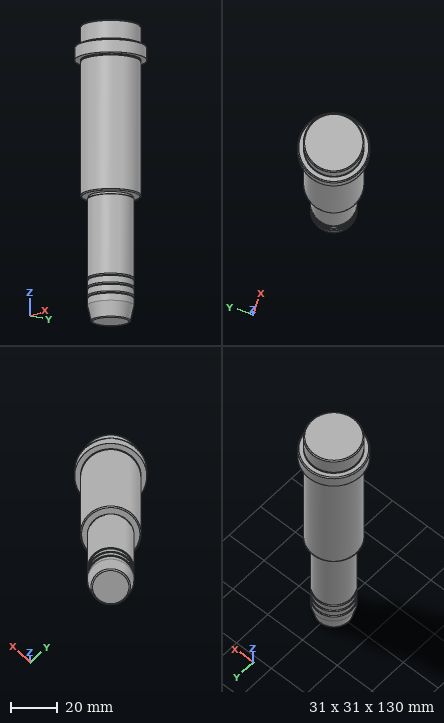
import cadquery as cq

total_height = 130.0
flange_top = 121.0
flange_bottom = 115.0
sleeve_bottom = 55.0
nose_height = 7.0

flange_radius = 15.5
sleeve_radius = 13.0
shank_radius = 10.0
tip_radius = 8.5

edge_chamfer = 0.5
tip_chamfer_height = 0.4
tip_chamfer_width = 0.6

flange_relief_width = 0.8
flange_relief_depth = 0.3
neck_height = 1.0
neck_depth = 0.5

groove_count = 3
groove_pitch = 3.9
lowest_groove_bottom = 10.1
groove_width = 1.0
groove_depth = 0.4


def cylinder(bottom, top, radius):
    """Solid cylinder about Z between two heights."""
    return cq.Workplane("XY").workplane(offset=bottom).circle(radius).extrude(top - bottom)


def ring_groove(bottom, width, radius, depth):
    """Ring-shaped cutter for a square groove in a cylinder of the given radius."""
    return cylinder(bottom, bottom + width, radius + depth).cut(
        cylinder(bottom, bottom + width, radius - depth)
    )


def vee_groove(bottom, width, radius, depth):
    """Ring-shaped cutter for a symmetric V groove in a cylinder of the given radius."""
    return (
        cq.Workplane("XZ")
        .moveTo(radius, bottom)
        .lineTo(radius - depth, bottom + width / 2)
        .lineTo(radius, bottom + width)
        .close()
        .revolve(360, (0, 0, 0), (0, 1, 0))
    )


def make_shank():
    """Guide shank with a tapered, chamfered nose, turned about Z."""
    return (
        cq.Workplane("XZ")
        .moveTo(0, 0)
        .lineTo(tip_radius - tip_chamfer_width, 0)
        .lineTo(tip_radius, tip_chamfer_height)
        .lineTo(shank_radius, nose_height)
        .lineTo(shank_radius, sleeve_bottom)
        .lineTo(0, sleeve_bottom)
        .close()
        .revolve(360, (0, 0, 0), (0, 1, 0))
    )


sleeve = cylinder(sleeve_bottom, total_height, sleeve_radius).edges("%CIRCLE").chamfer(edge_chamfer)

for relief_bottom in (flange_top, flange_bottom - flange_relief_width):
    sleeve = sleeve.cut(
        vee_groove(relief_bottom, flange_relief_width, sleeve_radius, flange_relief_depth)
    )

flange = cylinder(flange_bottom, flange_top, flange_radius).faces(">Z").edges().chamfer(edge_chamfer)

shank = make_shank().cut(
    ring_groove(sleeve_bottom - neck_height, neck_height, shank_radius, neck_depth)
)
for index in range(groove_count):
    groove_bottom = lowest_groove_bottom + index * groove_pitch
    shank = shank.cut(vee_groove(groove_bottom, groove_width, shank_radius, groove_depth))

result = sleeve.union(flange).union(shank)